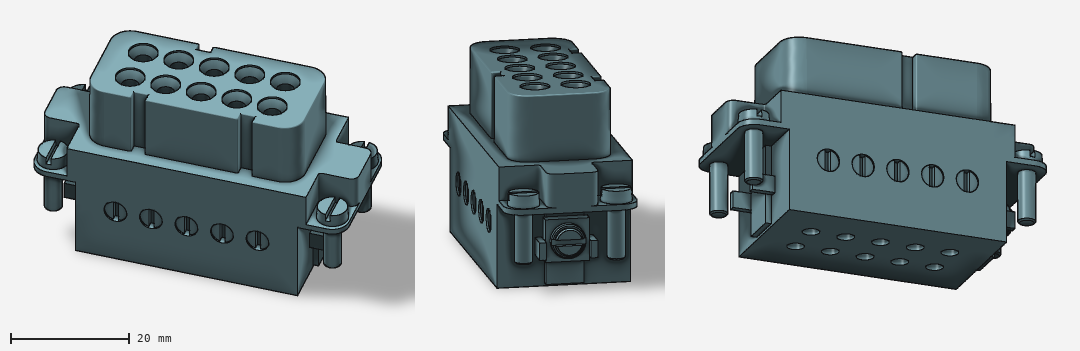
import cadquery as cq

PICK_MARGIN = 0.3

LENGTH = 55.8
DEPTH = 23.0
HEIGHT = 33.0

LOWER_LENGTH = 39.45
UPPER_LENGTH = 42.45
FLANGE_BOTTOM = 14.6
FLANGE_TOP = 15.6
FLANGE_CORNER_RADIUS = 3.0
BODY_TOP = 21.5

TAB_WIDTH = 8.9
TAB_OUTER_RADIUS = 1.4
TAB_INNER_RADIUS = 0.55

INSERT_LENGTH = 38.15
INSERT_WIDTH = 17.75
INSERT_CORNER_RADIUS = 3.6
INSERT_DRAFT = 0.3
INSERT_EDGE_RADIUS = 0.2
KEYWAY_WIDTH = 2.4
KEYWAY_DEPTH = 1.6
KEYWAY_LIP_RADIUS = 0.35
FRONT_KEYWAY_X = 9.5
REAR_KEYWAY_X = -3.1

CONTACTS_PER_ROW = 5
CONTACT_PITCH = 6.3
CONTACT_ROW_Y = 3.5
CONTACT_BORE = 2.95
CONTACT_MOUTH = 5.0
MOUTH_STRAIGHT_DEPTH = 0.35
MOUTH_CONE_DEPTH = 1.35

CLAMP_SCREW_Z = 10.05
CLAMP_SCREW_DIAMETER = 4.0
CLAMP_SCREW_RECESS = 0.35
CLAMP_SLOT_WIDTH = 0.95
CLAMP_SLOT_DEPTH = 1.1

FIXING_X = 24.8
FIXING_Y = 8.0
HEAD_TOP_DIAMETER = 5.15
HEAD_BASE_DIAMETER = 5.45
HEAD_TOP = 17.8
HEAD_SLOT_WIDTH = 0.85
HEAD_SLOT_DEPTH = 1.2
SHANK_DIAMETER = 3.05
SHANK_BOTTOM = 5.5
SHANK_CHAMFER = 0.3

STRIP_WIDTH = 6.6
STRIP_BOTTOM = 0.5
STRIP_FACE_X = 20.75
PRONG_SPAN = 10.0
PRONG_FACE_X = 23.8
PRONG_BOTTOM = 5.5
PRONG_TOP = 8.55
TERMINAL_WIDTH = 7.65
TERMINAL_BOTTOM = 4.85
TERMINAL_TOP = 12.3
TERMINAL_FACE_X = 22.75
EARTH_SCREW_DIAMETER = 5.95
EARTH_SCREW_FACE_X = 24.0
EARTH_RIM_CHAMFER = 0.2
EARTH_CROWN_DIAMETER = 4.9
EARTH_CROWN_CHAMFER = 0.3
EARTH_CROWN_FACE_X = 24.65
EARTH_SLOT_WIDTH = 1.05
EARTH_SLOT_DEPTH = 0.9


def block(x_min, x_max, width, z_min, z_max):
    """Box between two X and two Z limits, centred on Y = 0."""
    size = (x_max - x_min, width, z_max - z_min)
    return cq.Workplane("XY").box(*size, centered=(False, True, False)).translate((x_min, 0, z_min))


def upright_block(length, width, z_min, z_max):
    """Box centred on the Z axis."""
    return block(-length / 2, length / 2, width, z_min, z_max)


def make_body():
    lower = upright_block(LOWER_LENGTH, DEPTH, 0, FLANGE_TOP)
    flange = upright_block(LENGTH, DEPTH, FLANGE_BOTTOM, FLANGE_TOP)
    flange = flange.edges("|Z").fillet(FLANGE_CORNER_RADIUS)
    tabs = upright_block(LENGTH, TAB_WIDTH, FLANGE_TOP, BODY_TOP)
    tabs = tabs.edges("|Z").fillet(TAB_OUTER_RADIUS)
    upper = upright_block(UPPER_LENGTH, DEPTH, FLANGE_TOP, BODY_TOP).union(tabs)
    inner_corners = cq.selectors.BoxSelector(
        (-UPPER_LENGTH / 2 - PICK_MARGIN, -TAB_WIDTH / 2 - PICK_MARGIN, FLANGE_TOP),
        (UPPER_LENGTH / 2 + PICK_MARGIN, TAB_WIDTH / 2 + PICK_MARGIN, BODY_TOP),
    )
    upper = upper.edges("|Z").edges(inner_corners).fillet(TAB_INNER_RADIUS)
    return lower.union(flange).union(upper)


def make_insert():
    insert = (
        cq.Workplane("XY", origin=(0, 0, BODY_TOP))
        .sketch()
        .rect(INSERT_LENGTH, INSERT_WIDTH)
        .vertices()
        .fillet(INSERT_CORNER_RADIUS)
        .finalize()
        .extrude(HEIGHT - BODY_TOP, taper=INSERT_DRAFT)
    )
    for x, side in ((-FRONT_KEYWAY_X, -1), (FRONT_KEYWAY_X, -1), (REAR_KEYWAY_X, 1)):
        keyway = upright_block(KEYWAY_WIDTH, 2 * KEYWAY_DEPTH, BODY_TOP, HEIGHT)
        mouth_y = side * INSERT_WIDTH / 2
        insert = insert.cut(keyway.translate((x, mouth_y, 0)))
        lip_reach = KEYWAY_WIDTH / 2 + PICK_MARGIN
        lips = cq.selectors.BoxSelector(
            (x - lip_reach, mouth_y - PICK_MARGIN, BODY_TOP + PICK_MARGIN),
            (x + lip_reach, mouth_y + PICK_MARGIN, HEIGHT - PICK_MARGIN),
        )
        insert = insert.edges(lips).fillet(KEYWAY_LIP_RADIUS)
    return insert.faces(">Z").edges().fillet(INSERT_EDGE_RADIUS)


def contact_positions():
    middle = (CONTACTS_PER_ROW - 1) / 2
    return [(index - middle) * CONTACT_PITCH for index in range(CONTACTS_PER_ROW)]


def make_contact_hole():
    """Through bore with a countersunk mouth, as a revolved cutter on the Z axis."""
    mouth_radius = CONTACT_MOUTH / 2
    bore_radius = CONTACT_BORE / 2
    cone_top = HEIGHT - MOUTH_STRAIGHT_DEPTH
    return (
        cq.Workplane("XZ")
        .moveTo(0, 0)
        .lineTo(bore_radius, 0)
        .lineTo(bore_radius, cone_top - MOUTH_CONE_DEPTH)
        .lineTo(mouth_radius, cone_top)
        .lineTo(mouth_radius, HEIGHT)
        .lineTo(0, HEIGHT)
        .close()
        .revolve(360, (0, 0, 0), (0, 1, 0))
    )


def make_clamp_recess():
    """Recess and upright driver slot of a clamping screw in the -Y face."""
    radius = CLAMP_SCREW_DIAMETER / 2
    face = cq.Workplane("XZ", origin=(0, -DEPTH / 2, CLAMP_SCREW_Z))
    recess = face.circle(radius).extrude(-CLAMP_SCREW_RECESS)
    reach = CLAMP_SCREW_RECESS + CLAMP_SLOT_DEPTH
    slot = face.rect(CLAMP_SLOT_WIDTH, CLAMP_SCREW_DIAMETER).extrude(-reach)
    slot = slot.intersect(face.circle(radius).extrude(-reach))
    return recess.union(slot)


def make_fixing_screw():
    shank = (
        cq.Workplane("XY", origin=(0, 0, SHANK_BOTTOM))
        .circle(SHANK_DIAMETER / 2)
        .extrude(FLANGE_TOP - SHANK_BOTTOM)
        .faces("<Z")
        .chamfer(SHANK_CHAMFER)
    )
    head = (
        cq.Workplane("XY", origin=(0, 0, FLANGE_TOP))
        .circle(HEAD_BASE_DIAMETER / 2)
        .workplane(offset=HEAD_TOP - FLANGE_TOP)
        .circle(HEAD_TOP_DIAMETER / 2)
        .loft()
    )
    slot = upright_block(HEAD_SLOT_WIDTH, HEAD_BASE_DIAMETER, HEAD_TOP - HEAD_SLOT_DEPTH, HEAD_TOP)
    return shank.union(head.cut(slot))


def make_end_fittings():
    """Earthing strip and the two prongs beside it, built for the +X end."""
    root = LOWER_LENGTH / 2
    strip = block(root, STRIP_FACE_X, STRIP_WIDTH, STRIP_BOTTOM, FLANGE_BOTTOM)
    prongs = block(root, PRONG_FACE_X, PRONG_SPAN, PRONG_BOTTOM, PRONG_TOP)
    gap = block(root, PRONG_FACE_X, TERMINAL_WIDTH, PRONG_BOTTOM, PRONG_TOP)
    return strip.union(prongs.cut(gap))


def make_earth_terminal():
    """Square terminal with a stepped, slotted screw, on the -X end only."""
    terminal = block(-TERMINAL_FACE_X, -STRIP_FACE_X, TERMINAL_WIDTH, TERMINAL_BOTTOM, TERMINAL_TOP)
    centre_z = (TERMINAL_BOTTOM + TERMINAL_TOP) / 2
    face = cq.Workplane("YZ", origin=(-TERMINAL_FACE_X, 0, centre_z))
    head = face.circle(EARTH_SCREW_DIAMETER / 2).extrude(TERMINAL_FACE_X - EARTH_SCREW_FACE_X)
    head = head.faces("<X").chamfer(EARTH_RIM_CHAMFER)
    crown = face.circle(EARTH_CROWN_DIAMETER / 2).extrude(TERMINAL_FACE_X - EARTH_CROWN_FACE_X)
    crown = crown.faces("<X").chamfer(EARTH_CROWN_CHAMFER)
    slot = block(
        -EARTH_CROWN_FACE_X,
        -EARTH_CROWN_FACE_X + EARTH_SLOT_DEPTH,
        EARTH_SCREW_DIAMETER,
        centre_z - EARTH_SLOT_WIDTH / 2,
        centre_z + EARTH_SLOT_WIDTH / 2,
    )
    return terminal.union(head.union(crown).cut(slot))


result = make_body().union(make_insert())

for contact_x in contact_positions():
    for row_y in (-CONTACT_ROW_Y, CONTACT_ROW_Y):
        result = result.cut(make_contact_hole().translate((contact_x, row_y, 0)))
    clamp_recess = make_clamp_recess().translate((contact_x, 0, 0))
    result = result.cut(clamp_recess).cut(clamp_recess.mirror("XZ"))

for screw_x in (-FIXING_X, FIXING_X):
    for screw_y in (-FIXING_Y, FIXING_Y):
        result = result.union(make_fixing_screw().translate((screw_x, screw_y, 0)))

end_fittings = make_end_fittings()
result = result.union(end_fittings).union(end_fittings.mirror("YZ")).union(make_earth_terminal())